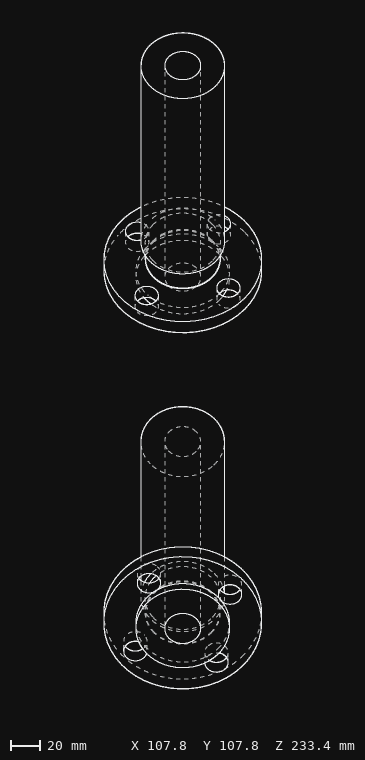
import cadquery as cq

total_height = 233.4
flange_diameter = 107.8
flange_thickness = 12.4

face_diameter = 64.0
face_height = 7.0

neck_diameter = 51.3

relief_diameter = 50.6
relief_height = 0.7

barrel_diameter = 57.2
barrel_base = 40.0
cone_height = 1.9

bore_diameter = 24.5
bolt_hole_diameter = 15.9
bolt_circle_diameter = 79.3
bolt_count = 4

flange_top = face_height + flange_thickness
relief_top = flange_top + relief_height
cone_base = barrel_base - cone_height


def body():
    """Turned body with its through bore, revolved about the Z axis."""
    profile = [
        (bore_diameter / 2, 0),
        (face_diameter / 2, 0),
        (face_diameter / 2, face_height),
        (flange_diameter / 2, face_height),
        (flange_diameter / 2, flange_top),
        (relief_diameter / 2, flange_top),
        (relief_diameter / 2, relief_top),
        (neck_diameter / 2, relief_top),
        (neck_diameter / 2, cone_base),
        (barrel_diameter / 2, barrel_base),
        (barrel_diameter / 2, total_height),
        (bore_diameter / 2, total_height),
    ]
    return cq.Workplane("XZ").polyline(profile).close().revolve(360, (0, 0), (0, 1))


def bolt_holes():
    """Cutters for the bolt holes, the first one on the +X axis."""
    return (
        cq.Workplane("XY")
        .workplane(offset=face_height)
        .polarArray(bolt_circle_diameter / 2, 0, 360, bolt_count)
        .circle(bolt_hole_diameter / 2)
        .extrude(flange_thickness)
    )


result = body().cut(bolt_holes())